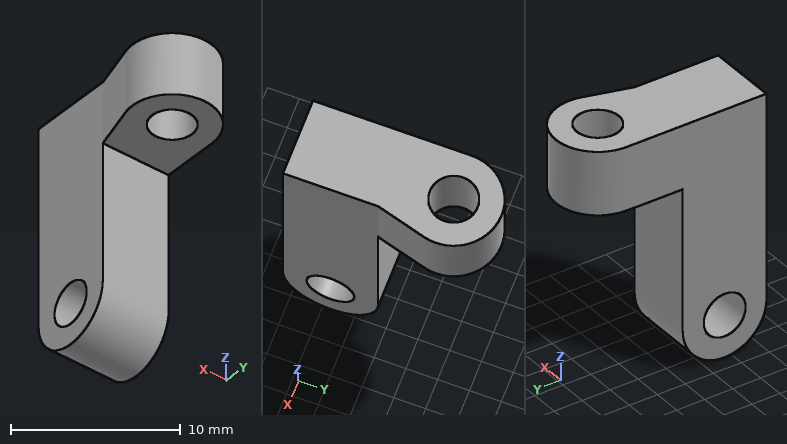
import cadquery as cq
import math

height = 17.5
depth = 13.0
leg_depth = 6.0
leg_width = 5.0
arm_thickness = 4.5
hole_diameter = 3.0

end_radius = leg_depth / 2
eye_x = end_radius
eye_y = depth - end_radius


def make_leg():
    """Vertical leg with a rounded lower end and a cross hole along X."""
    return (
        cq.Workplane("YZ")
        .moveTo(0, height)
        .lineTo(0, end_radius)
        .threePointArc((end_radius, 0), (leg_depth, end_radius))
        .lineTo(leg_depth, height)
        .close()
        .moveTo(end_radius, end_radius)
        .circle(hole_diameter / 2)
        .extrude(leg_width)
    )


def make_arm():
    """Horizontal arm that flares, tangent to its round eye, with a vertical hole."""
    corner_dx = leg_width - eye_x
    corner_dy = leg_depth - eye_y
    corner_distance = math.hypot(corner_dx, corner_dy)
    tangent_angle = math.atan2(corner_dy, corner_dx) + math.acos(end_radius / corner_distance)
    tangent_x = eye_x + end_radius * math.cos(tangent_angle)
    tangent_y = eye_y + end_radius * math.sin(tangent_angle)

    return (
        cq.Workplane("XY", origin=(0, 0, height - arm_thickness))
        .moveTo(0, 0)
        .lineTo(leg_width, 0)
        .lineTo(leg_width, leg_depth)
        .lineTo(tangent_x, tangent_y)
        .threePointArc((eye_x, depth), (0, eye_y))
        .close()
        .moveTo(eye_x, eye_y)
        .circle(hole_diameter / 2)
        .extrude(arm_thickness)
    )


result = make_leg().union(make_arm()).clean()